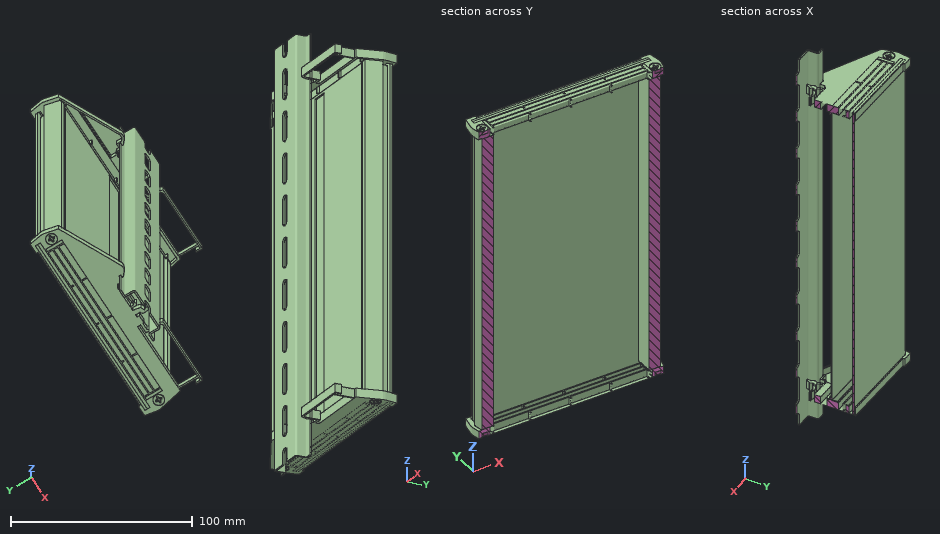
import cadquery as cq
import math

RAIL_LENGTH = 250.0
OVERALL_DEPTH = 39.2
CAP_WIDTH = 122.2
CAP_OUTER_Z = 103.5
CAP_THICKNESS = 5.2
CAP_INNER_Z = CAP_OUTER_Z - CAP_THICKNESS
CAP_SKIN = 0.8
CHAMBER_SKIN = 0.5
POCKET_FLOOR_Z = CAP_OUTER_Z - CAP_SKIN
CHAMBER_FLOOR_Z = CAP_OUTER_Z - CHAMBER_SKIN

RAIL_FRONT_Y = -OVERALL_DEPTH / 2
RAIL_HEIGHT = 7.5
RAIL_SHEET = 1.0
RAIL_WIDTH = 35.2
RAIL_HALF_WIDTH = RAIL_WIDTH / 2
RAIL_WEB_HALF_WIDTH = 13.5
RAIL_OUTER_BEND = 1.2
RAIL_INNER_BEND = RAIL_OUTER_BEND - RAIL_SHEET
RAIL_BACK_Y = RAIL_FRONT_Y + RAIL_HEIGHT
RAIL_LIP_FRONT_Y = RAIL_BACK_Y - RAIL_SHEET
SLOT_LENGTH = 18.0
SLOT_WIDTH = 5.5
SLOT_PITCH = 25.0
SLOT_COUNT = 11

WIDEST_Y = 11.0
TRAY_FLOOR_Y = 1.8
TRAY_FOOT_Y = 1.0
TRAY_GROOVE_Y = 2.2
TRAY_CAVITY_FLOOR_Y = 3.5
TRAY_CAVITY_HALF_WIDTH = 50.2
RECESS_HALF_WIDTH = 5.5
RECESS_DEPTH = 1.0
RECESS_HALF_LENGTH = 96.8

BOARD_HALF_WIDTH = 57.2
BOARD_BOTTOM_Y = 16.2
BOARD_TOP_Y = 17.8

SCREW_X = 56.0
SCREW_Y = 8.0
SCREW_HEAD_RADIUS = 3.2
SCREW_HEAD_THICKNESS = 2.0
SCREW_HEAD_SINK = 0.5
SCREW_SHANK_RADIUS = 1.5
SCREW_LENGTH = 10.0
SCREW_CROSS_LENGTH = 4.0
SCREW_CROSS_WIDTH = 1.0
SCREW_CROSS_DEPTH = 1.2
SCREW_HEAD_TOP_Z = CAP_OUTER_Z - SCREW_HEAD_SINK
SCREW_HEAD_BOTTOM_Z = SCREW_HEAD_TOP_Z - SCREW_HEAD_THICKNESS

CAP_TOP_Y = OVERALL_DEPTH / 2
CAP_BRIDGE_TOP_Y = 18.5
CAP_HALF_WIDTH = CAP_WIDTH / 2
LUG_INNER_X = 53.2
LUG_OUTER_X = 59.8
END_FLAT_TOP_Y = 11.8
END_FLAT_BOTTOM_Y = 10.2
SHELF_END_X = 57.8
RIM = 1.0
FOOT_UNDERSIDE_Y = -7.8
SHELF_UNDERSIDE_Y = -5.0
FOOT_RIGHT_X = 13.0
LIP_CLEARANCE = 0.12
LIP_NOTCH_TOP_Y = RAIL_BACK_Y + LIP_CLEARANCE
LIP_NOTCH_BOTTOM_Y = RAIL_LIP_FRONT_Y - LIP_CLEARANCE
LIP_NOTCH_END_X = RAIL_HALF_WIDTH + 2 * LIP_CLEARANCE
RIB = 0.8
STUB_LENGTH = 1.5
OUTER_STUB_X = 53.0
RIB_X = (-26.2, 0.0, 26.2)

SLANT_TOP = (-59.2, 1.5)
SLANT_BOTTOM = (-22.5, -16.5)
BAR_Y = -3.5
BAR = 0.5
SLANT_SLOPE = (SLANT_BOTTOM[1] - SLANT_TOP[1]) / (SLANT_BOTTOM[0] - SLANT_TOP[0])
SLANT_RIM_RISE = RIM * math.hypot(1, SLANT_SLOPE)


def box(x0, x1, y0, y1, z0, z1):
    return cq.Workplane("XY").box(x1 - x0, y1 - y0, z1 - z0, centered=False).translate((x0, y0, z0))


def prism(points, z0, z1):
    return cq.Workplane("XY").workplane(offset=z0).polyline(points).close().extrude(z1 - z0)


def mirrored(left_points):
    """Close a left half outline with its mirror image about the YZ plane."""
    return left_points + [(-x, y) for x, y in reversed(left_points)]


def make_rail():
    inner_half = RAIL_WEB_HALF_WIDTH - RAIL_SHEET
    left = [
        (-RAIL_HALF_WIDTH, RAIL_BACK_Y),
        (-RAIL_HALF_WIDTH, RAIL_LIP_FRONT_Y),
        (-RAIL_WEB_HALF_WIDTH, RAIL_LIP_FRONT_Y),
        (-RAIL_WEB_HALF_WIDTH, RAIL_FRONT_Y),
    ]
    right_back = [
        (inner_half, RAIL_BACK_Y),
        (inner_half, RAIL_FRONT_Y + RAIL_SHEET),
        (-inner_half, RAIL_FRONT_Y + RAIL_SHEET),
        (-inner_half, RAIL_BACK_Y),
    ]
    rail = prism(mirrored(left) + right_back, -RAIL_LENGTH / 2, RAIL_LENGTH / 2)
    for side in (-1, 1):
        outer_bends = [
            (side * RAIL_WEB_HALF_WIDTH, RAIL_FRONT_Y),
            (side * inner_half, RAIL_BACK_Y),
        ]
        inner_bends = [
            (side * RAIL_WEB_HALF_WIDTH, RAIL_LIP_FRONT_Y),
            (side * inner_half, RAIL_FRONT_Y + RAIL_SHEET),
        ]
        for bends, radius in ((outer_bends, RAIL_OUTER_BEND), (inner_bends, RAIL_INNER_BEND)):
            for x, y in bends:
                edge = cq.selectors.NearestToPointSelector((x, y, 0))
                rail = rail.edges("|Z").edges(edge).fillet(radius)

    centres = [(0, SLOT_PITCH * (i - (SLOT_COUNT - 1) / 2)) for i in range(SLOT_COUNT)]
    slots = (
        cq.Workplane("XZ", origin=(0, RAIL_FRONT_Y + 2 * RAIL_SHEET, 0))
        .pushPoints(centres)
        .slot2D(SLOT_LENGTH, SLOT_WIDTH, 90)
        .extrude(3 * RAIL_SHEET)
    )
    return rail.cut(slots)


def make_screw(x, end):
    """A cross-head screw in the upper (end = 1) or lower (end = -1) cap."""
    head = (
        cq.Workplane("XY").workplane(offset=SCREW_HEAD_BOTTOM_Z).center(x, SCREW_Y)
        .circle(SCREW_HEAD_RADIUS).extrude(SCREW_HEAD_THICKNESS)
    )
    shank = (
        cq.Workplane("XY").workplane(offset=SCREW_HEAD_BOTTOM_Z - SCREW_LENGTH).center(x, SCREW_Y)
        .circle(SCREW_SHANK_RADIUS).extrude(SCREW_LENGTH)
    )
    screw = head.union(shank)
    for angle in (0, 90):
        cross_slot = (
            cq.Workplane("XY").workplane(offset=SCREW_HEAD_TOP_Z - SCREW_CROSS_DEPTH).center(x, SCREW_Y)
            .slot2D(SCREW_CROSS_LENGTH, SCREW_CROSS_WIDTH, angle).extrude(SCREW_CROSS_DEPTH)
        )
        screw = screw.cut(cross_slot)
    return at_end(screw, end)


def screw_hole(x):
    """Counterbored hole for a screw of the upper cap."""
    bore = (
        cq.Workplane("XY").workplane(offset=SCREW_HEAD_BOTTOM_Z).center(x, SCREW_Y)
        .circle(SCREW_HEAD_RADIUS).extrude(SCREW_HEAD_THICKNESS + SCREW_HEAD_SINK)
    )
    hole = (
        cq.Workplane("XY").workplane(offset=SCREW_HEAD_BOTTOM_Z - SCREW_LENGTH).center(x, SCREW_Y)
        .circle(SCREW_SHANK_RADIUS).extrude(SCREW_LENGTH)
    )
    return bore.union(hole)


def at_end(body, end):
    """The body as modelled at the upper end, or mirrored to the lower end."""
    return body if end > 0 else body.mirror("XY")


def make_tray():
    left = [
        (-TRAY_CAVITY_HALF_WIDTH, TRAY_CAVITY_FLOOR_Y),
        (-TRAY_CAVITY_HALF_WIDTH, BOARD_BOTTOM_Y),
        (-54.2, BOARD_BOTTOM_Y),
        (-55.0, WIDEST_Y),
        (-59.2, WIDEST_Y),
        (-57.0, TRAY_FOOT_Y),
        (-53.8, TRAY_FOOT_Y),
        (-52.2, TRAY_GROOVE_Y),
        (-51.5, TRAY_GROOVE_Y),
        (-51.5, TRAY_FLOOR_Y),
    ]
    tray = prism(mirrored(left), -CAP_INNER_Z, CAP_INNER_Z)
    recess = box(
        -RECESS_HALF_WIDTH, RECESS_HALF_WIDTH, TRAY_FLOOR_Y, TRAY_FLOOR_Y + RECESS_DEPTH,
        -RECESS_HALF_LENGTH, RECESS_HALF_LENGTH,
    )
    tray = tray.cut(recess)
    for x in (-SCREW_X, SCREW_X):
        for end in (-1, 1):
            tray = tray.cut(at_end(screw_hole(x), end))
    return tray


def make_board():
    return box(
        -BOARD_HALF_WIDTH, BOARD_HALF_WIDTH, BOARD_BOTTOM_Y, BOARD_TOP_Y, -CHAMBER_FLOOR_Z, CHAMBER_FLOOR_Z
    )


def cap_plate():
    """Plate with the two corner lugs, the slanted foot and the notch over the left rail lip."""
    return (
        cq.Workplane("XY").workplane(offset=CAP_INNER_Z)
        .moveTo(-LUG_INNER_X, CAP_BRIDGE_TOP_Y)
        .lineTo(-LUG_INNER_X, CAP_TOP_Y)
        .lineTo(-LUG_OUTER_X, CAP_TOP_Y)
        .lineTo(-CAP_HALF_WIDTH, END_FLAT_TOP_Y)
        .lineTo(-CAP_HALF_WIDTH, END_FLAT_BOTTOM_Y)
        .lineTo(*SLANT_TOP)
        .lineTo(*SLANT_BOTTOM)
        .threePointArc((-20.5, -16.8), (-18.5, -16.0))
        .lineTo(-16.2, -14.0)
        .lineTo(-16.2, LIP_NOTCH_BOTTOM_Y)
        .lineTo(-LIP_NOTCH_END_X, LIP_NOTCH_BOTTOM_Y)
        .lineTo(-LIP_NOTCH_END_X, LIP_NOTCH_TOP_Y)
        .lineTo(-14.0, LIP_NOTCH_TOP_Y)
        .lineTo(-14.0, -9.0)
        .lineTo(-12.5, FOOT_UNDERSIDE_Y)
        .lineTo(FOOT_RIGHT_X, FOOT_UNDERSIDE_Y)
        .lineTo(FOOT_RIGHT_X, SHELF_UNDERSIDE_Y)
        .lineTo(SHELF_END_X, SHELF_UNDERSIDE_Y)
        .lineTo(CAP_HALF_WIDTH, END_FLAT_BOTTOM_Y)
        .lineTo(CAP_HALF_WIDTH, END_FLAT_TOP_Y)
        .lineTo(LUG_OUTER_X, CAP_TOP_Y)
        .lineTo(LUG_INNER_X, CAP_TOP_Y)
        .lineTo(LUG_INNER_X, CAP_BRIDGE_TOP_Y)
        .close()
        .extrude(CAP_THICKNESS)
    )


def release_lever():
    """Springy lever that hooks over the right rail lip and returns to the plate."""
    arm_bottom = -18.5
    arm_thickness = 1.0
    arm_top = arm_bottom + arm_thickness
    lever_points = [
        (8.0, FOOT_UNDERSIDE_Y), (8.0, -9.2), (FOOT_RIGHT_X, -9.2), (FOOT_RIGHT_X, -8.5),
        (17.2, -8.5), (17.8, -10.2), (16.2, -11.0), (16.2, LIP_NOTCH_TOP_Y), (LIP_NOTCH_END_X, LIP_NOTCH_TOP_Y),
        (LIP_NOTCH_END_X, LIP_NOTCH_BOTTOM_Y), (16.2, LIP_NOTCH_BOTTOM_Y), (16.2, -14.8),
        (18.0, arm_bottom), (59.0, arm_bottom), (59.0, -14.5), (58.0, -14.5), (58.0, arm_top), (56.2, arm_top),
        (56.2, SHELF_UNDERSIDE_Y), (55.2, SHELF_UNDERSIDE_Y), (55.2, arm_top), (19.5, arm_top), (18.5, -16.5),
        (18.5, -7.0), (FOOT_RIGHT_X, -7.0), (FOOT_RIGHT_X, FOOT_UNDERSIDE_Y),
    ]
    return prism(lever_points, CAP_INNER_Z, CAP_OUTER_Z)


def left_spring():
    """Curved spring inside the rail: two legs from the foot and a barbed stem."""
    points = [
        (-11.2, FOOT_UNDERSIDE_Y), (-11.2, -10.2), (-10.5, -12.0), (-11.5, -14.0), (-10.2, -15.5), (-10.5, -18.0),
        (-9.2, -18.0), (-8.5, -15.8), (-7.8, -15.0), (-8.8, -13.8), (-8.8, -12.8), (-6.8, -12.2), (-4.5, -11.0),
        (0.0, -11.0), (0.8, -11.8), (2.0, -11.0), (2.0, FOOT_UNDERSIDE_Y), (1.0, FOOT_UNDERSIDE_Y),
        (0.8, -10.0), (-1.2, -10.2), (-3.2, -9.5), (-5.8, -10.0), (-7.8, -11.5), (-9.0, -11.2), (-10.0, -9.8),
        (-10.0, FOOT_UNDERSIDE_Y),
    ]
    return prism(points, CAP_INNER_Z, CAP_OUTER_Z)


def right_finger():
    """Short bent finger beside the spring."""
    points = [
        (3.5, FOOT_UNDERSIDE_Y), (3.5, -9.2), (4.2, -12.5), (6.5, -13.5), (5.8, -14.5), (5.8, -16.2),
        (7.5, -16.2), (8.0, -11.8), (6.5, -10.5), (6.5, FOOT_UNDERSIDE_Y),
    ]
    return prism(points, CAP_INNER_Z, CAP_OUTER_Z)


def slant_inner_x(y):
    """X of the inner side of the slanted rim at height y."""
    return SLANT_TOP[0] + (y - SLANT_RIM_RISE - SLANT_TOP[1]) / SLANT_SLOPE


def foot_pockets():
    """Pockets below the tray floor and inside the slanted foot."""
    upper = prism(
        [
            (slant_inner_x(TRAY_FLOOR_Y), TRAY_FLOOR_Y), (slant_inner_x(BAR_Y), BAR_Y),
            (SHELF_END_X - RIM, BAR_Y), (SHELF_END_X, TRAY_FLOOR_Y),
        ],
        CAP_INNER_Z, POCKET_FLOOR_Z,
    )
    lower_top = BAR_Y - BAR
    lower_bottom = -15.5
    lower = prism(
        [
            (slant_inner_x(lower_top), lower_top), (slant_inner_x(lower_bottom), lower_bottom),
            (-20.0, lower_bottom), (-18.8, -14.2), (-18.8, -11.0), (-15.0, -11.0), (-14.8, -8.8),
            (-13.2, -7.2), (-13.2, lower_top),
        ],
        CAP_INNER_Z, POCKET_FLOOR_Z,
    )
    stub_y = TRAY_FLOOR_Y - STUB_LENGTH
    for x in RIB_X + (-OUTER_STUB_X, OUTER_STUB_X):
        upper = upper.cut(box(x - RIB / 2, x + RIB / 2, stub_y, TRAY_FLOOR_Y, CAP_INNER_Z, POCKET_FLOOR_Z))
    return upper.union(lower)


def chamber_pockets():
    """Ribbed pockets over the tray cavity, one row above the other."""
    half = 50.0
    side_inner = half + RIB
    side_outer = 52.5
    rows = ((3.5, 7.0), (7.8, 10.2), (11.0, 13.8))
    bottom_y = rows[0][0]
    top_y = rows[-1][1]
    stub_y = top_y - STUB_LENGTH
    pockets = cq.Workplane("XY")
    for bottom, top in rows:
        pockets = pockets.union(box(-half, half, bottom, top, CAP_INNER_Z, CHAMBER_FLOOR_Z))
    for x in RIB_X:
        pockets = pockets.cut(box(x - RIB / 2, x + RIB / 2, *rows[0], CAP_INNER_Z, CHAMBER_FLOOR_Z))
        pockets = pockets.cut(box(x - RIB / 2, x + RIB / 2, stub_y, top_y, CAP_INNER_Z, CHAMBER_FLOOR_Z))
    for x0, x1 in ((-side_outer, -side_inner), (side_inner, side_outer)):
        pockets = pockets.union(box(x0, x1, bottom_y, top_y, CAP_INNER_Z, CHAMBER_FLOOR_Z))
    return pockets


def board_pocket():
    """Slot that takes the end of the board, with room below it."""
    room_below = 1.8
    slot_bottom_y = BOARD_BOTTOM_Y - room_below
    return box(
        -BOARD_HALF_WIDTH, BOARD_HALF_WIDTH, slot_bottom_y, BOARD_TOP_Y, CAP_INNER_Z, CHAMBER_FLOOR_Z
    )


def make_cap(end):
    cap = cap_plate().cut(foot_pockets()).cut(chamber_pockets()).cut(board_pocket())
    cap = cap.union(release_lever()).union(left_spring()).union(right_finger())
    for x in (-SCREW_X, SCREW_X):
        cap = cap.cut(screw_hole(x))
    return at_end(cap, end)


rail = make_rail()
tray = make_tray()
board = make_board()
caps = [make_cap(end) for end in (-1, 1)]
screws = [make_screw(x, end) for x in (-SCREW_X, SCREW_X) for end in (-1, 1)]

bodies = [rail, tray, board] + caps + screws
result = cq.Compound.makeCompound([solid for body in bodies for solid in body.solids().vals()])